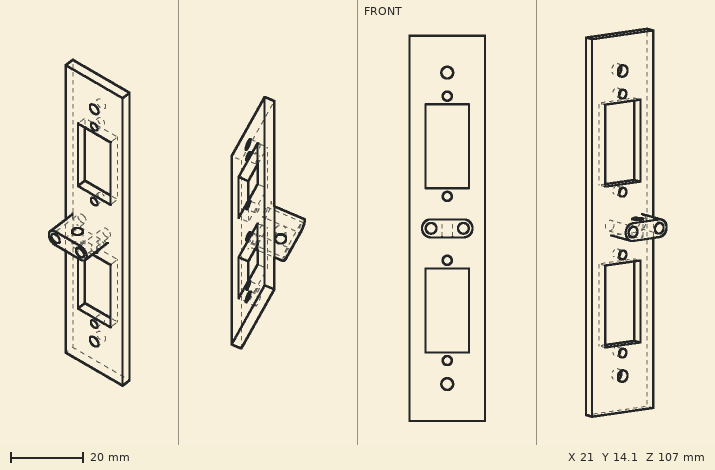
import cadquery as cq

plate_width = 21.0
plate_height = 107.0
plate_thickness = 3.0
total_depth = 14.1

opening_width = 12.0
opening_height = 23.2
opening_offset = 22.8
screw_spacing = 27.8
screw_diameter = 2.5

mount_offset = 43.2
mount_diameter = 3.2

post_length = total_depth - plate_thickness
post_thickness = 5.0
post_hole_spacing = 9.0
post_width = post_hole_spacing + post_thickness
post_fillet = 1.9
post_hole_diameter = 3.0
post_hole_depth = post_length
cross_hole_from_tip = 4.1


def front_plane(y):
    """Workplane facing -Y at the given depth, with local axes along X and Z."""
    return cq.Workplane("XZ", origin=(0, y, 0))


plate = front_plane(0).rect(plate_width, plate_height).extrude(plate_thickness)
post = front_plane(-plate_thickness).slot2D(post_width, post_thickness).extrude(post_length)
body = plate.union(post)

foot_box = cq.selectors.BoxSelector(
    (-post_width / 2, -plate_thickness - post_fillet / 2, -post_thickness),
    (post_width / 2, -plate_thickness + post_fillet / 2, post_thickness),
)
body = body.edges(foot_box).fillet(post_fillet)

for side in (1, -1):
    center = side * opening_offset
    opening = front_plane(0).center(0, center).rect(opening_width, opening_height)
    screw_holes = (
        front_plane(0)
        .pushPoints([(0, center - screw_spacing / 2), (0, center + screw_spacing / 2)])
        .circle(screw_diameter / 2)
    )
    mount_hole = front_plane(0).center(0, side * mount_offset).circle(mount_diameter / 2)
    for profile in (opening, screw_holes, mount_hole):
        body = body.cut(profile.extrude(plate_thickness))

tip_holes = (
    front_plane(-total_depth)
    .pushPoints([(-post_hole_spacing / 2, 0), (post_hole_spacing / 2, 0)])
    .circle(post_hole_diameter / 2)
    .extrude(-post_hole_depth)
)
body = body.cut(tip_holes)

cross_hole = (
    cq.Workplane("XY")
    .center(0, -total_depth + cross_hole_from_tip)
    .circle(post_hole_diameter / 2)
    .extrude(post_thickness / 2, both=True)
)
result = body.cut(cross_hole)